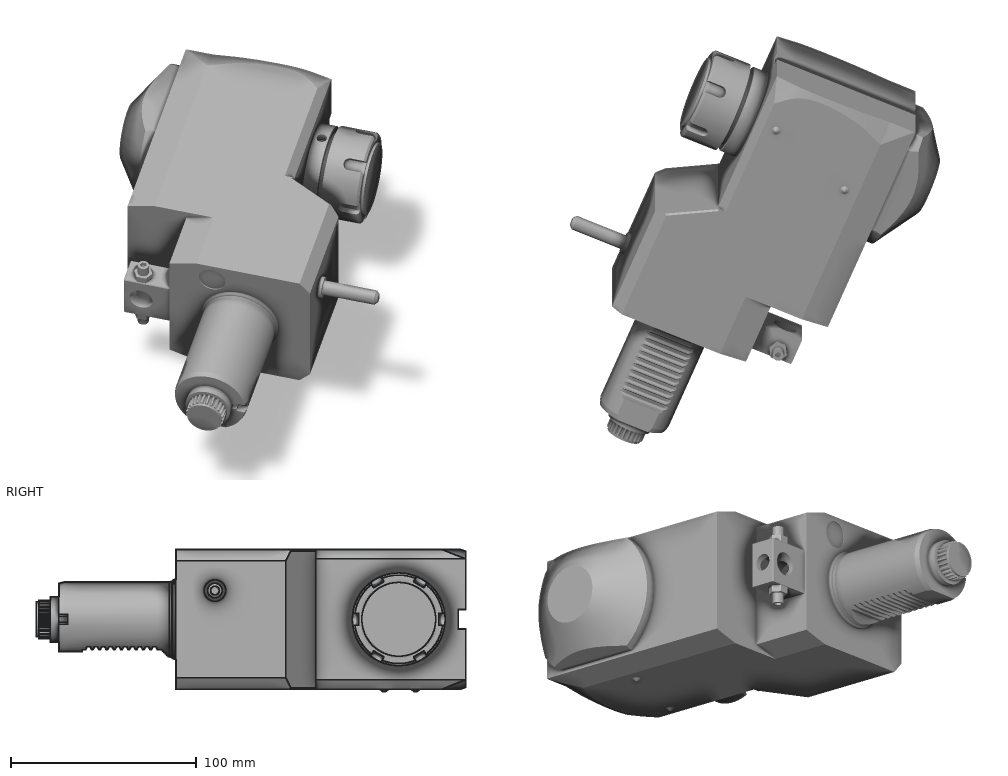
import cadquery as cq
import math


half_height = 37.7
back_y = 156.0
step_y = 35.3
head_left_x = -72.3
head_right_x = 8.8
foot_left_x = -39.5
foot_right_x = 38.8
shoulder_low_y = 59.1
shoulder_high_y = 75.3
left_bevel = (15.2, 4.2)
foot_right_bevel = (5.8, 6.2)
head_right_bevel = (4.2, 5.0)
shoulder_bevel = (1.0, 1.0)

crown_corner_y = 143.5
crown_points = [(-40.5, 150.0), (-19.9, 152.7), (-4.9, 150.0), (4.6, 142.8), (9.2, 139.5)]
crown_fall = 0.32
crown_reach = 23
crown_margin = 2.3

notch_width = 10.5
notch_depth = 4.0

spindle_y = 120.0

cap_radius = 40.2
cap_rim = 6.0
cap_length = 22.9
cap_nose_radius = 16.0
cap_flat_z = 31.6
cap_flat_length = 2.5
cap_flat_slope = 0.2

nose_radius = 24.3
nose_length = 8.0
groove_radius = 20.8
groove_length = 2.5
nut_radius = 25.0
nut_length = 20.8
nut_chamfer = 1.2
nut_face_radius = 19.9
nut_face_length = 1.5
nut_slot_count = 6
nut_slot_width = 6.5
nut_slot_length = 11.5
nut_slot_depth = 3.5
nose_hole_radius = 2.8
nose_hole_depth = 4.6
nose_hole_offset = 4.5

collar_radius = 21.5
collar_length = 2.0
collar_round = 1.8
collar_foot_radius = 20.5
collar_foot_length = 1.5
shank_radius = 20.0
shank_length = 62.8
shank_chamfer_length = 2.8
shank_chamfer_depth = 0.7
neck_radius = 12.2
neck_length = 4.6
spline_tip_radius = 10.5
spline_root_radius = 9.2
spline_length = 6.2
end_disc_radius = 9.5
end_disc_length = 1.5
spline_count = 24
spline_tooth_corners = [
    (spline_root_radius, 0),
    (spline_root_radius, 0.3),
    (spline_tip_radius, 0.5),
    (spline_tip_radius, 0.8),
]
key_slot_width = 5.5
key_slot_floor = 14.8
key_slot_length = 4.6
key_slot_inner_width = 3.2

rack_flat_z = -17.3
rack_tip_z = -16.5
rack_root_z = -14.8
rack_start_y = -4.0
rack_end_y = -50.4
rack_pitch = 4.0
rack_first_root_y = -11.5
rack_root_count = 10
rack_mouth_half_share = 0.42
rack_bottom_half_share = 0.2

block_left_x = -65.4
block_low_y = 1.5
block_high_y = 16.0
block_half_height = 12.5
block_chamfer = 0.5
port_x = -55.7
port_radius = 6.5
side_port_radius = 4.6
side_port_depth = 20.8
pilot_radius = 1.0
pilot_depth = 2.3
fitting_y = 6.2
hex_across_corners = 10.2
hex_height = 3.7
fitting_radius = 3.0
fitting_height = 5.5
socket_across_corners = 3.7
socket_depth = 2.3

pin_y = 21.0
pin_z = 15.5
pin_radius = 4.0
pin_end_x = 71.4
pin_chamfer = 1.6
pin_flange_radius = 5.8
pin_flange_length = 2.0
plug_x = -15.7
plug_z = 27.5
plug_radius = 7.5
plug_depth = 0.7
nipple_height = 1.5
nipple_radius = 2.3
nipple_tip_radius = 0.5
nipple_places = [(-49.5, 112.0), (-2.3, 129.0)]


def rod_x(start_x, length, y, z, radius):
    """Cylinder running toward +X."""
    start = cq.Vector(start_x, y, z)
    return cq.Workplane(cq.Solid.makeCylinder(radius, length, start, cq.Vector(1, 0, 0)))


def rod_y(x, start_y, length, z, radius):
    """Cylinder running toward -Y."""
    start = cq.Vector(x, start_y, z)
    return cq.Workplane(cq.Solid.makeCylinder(radius, length, start, cq.Vector(0, -1, 0)))


def cut_both_faces(body, cutter):
    """Cut the upper face and, mirrored, the lower face."""
    return body.cut(cutter).cut(cutter.mirror("XY"))


def bevel_prism(start, end, size):
    """Wedge that bevels the upper edge from start to end; the material lies left of that direction."""
    setback, drop = size
    run_x = end[0] - start[0]
    run_y = end[1] - start[1]
    plane = cq.Plane(
        origin=(start[0], start[1], half_height),
        xDir=(-run_y, run_x, 0),
        normal=(run_x, run_y, 0),
    )
    wedge = cq.Workplane(plane).polyline([(0, 0), (setback, 0), (0, -drop)]).close()
    return wedge.extrude(math.hypot(run_x, run_y))


def crown_cutter():
    """Everything above the slope that falls from the crowned line toward the back face."""
    corner_x = head_left_x + left_bevel[0]
    outside_x = head_left_x - crown_margin
    outside_y = back_y + crown_margin
    profile = (
        cq.Workplane("XY", origin=(0, 0, half_height))
        .moveTo(outside_x, crown_corner_y)
        .lineTo(corner_x, crown_corner_y)
        .spline(crown_points, includeCurrent=True)
        .lineTo(crown_points[-1][0], outside_y)
        .lineTo(outside_x, outside_y)
        .close()
    )
    fall = cq.Vector(0, crown_reach, -crown_fall * crown_reach)
    return cq.Workplane(cq.Solid.extrudeLinear(profile.val(), [], fall))


def housing():
    outline = [
        (head_left_x, step_y),
        (foot_left_x, step_y),
        (foot_left_x, 0),
        (foot_right_x, 0),
        (foot_right_x, shoulder_low_y),
        (head_right_x, shoulder_high_y),
        (head_right_x, back_y),
        (head_left_x, back_y),
    ]
    body = cq.Workplane("XY").polyline(outline).close().extrude(half_height, both=True)

    shoulder_slope = (shoulder_high_y - shoulder_low_y) / (foot_right_x - head_right_x)
    foot_bevel_end_y = shoulder_low_y + shoulder_slope * foot_right_bevel[0]
    bevels = [
        ((head_left_x, back_y), (head_left_x, step_y), left_bevel),
        ((foot_left_x, step_y), (foot_left_x, 0), left_bevel),
        ((foot_right_x, 0), (foot_right_x, foot_bevel_end_y), foot_right_bevel),
        ((foot_right_x, shoulder_low_y), (head_right_x, shoulder_high_y), shoulder_bevel),
        ((head_right_x, shoulder_high_y), (head_right_x, back_y), head_right_bevel),
    ]
    for start, end, size in bevels:
        body = cut_both_faces(body, bevel_prism(start, end, size))
    body = cut_both_faces(body, crown_cutter())

    notch = (
        cq.Workplane("XZ", origin=(0, back_y, 0))
        .center((head_left_x + head_right_x) / 2, 0)
        .rect(head_right_x - head_left_x, notch_width)
        .extrude(notch_depth)
    )
    plug = rod_y(plug_x, plug_depth, 2 * plug_depth, plug_z, plug_radius)
    return body.cut(notch).cut(plug)


def cap():
    end_x = head_left_x - cap_length
    rim_x = head_left_x - cap_rim
    dome = (
        cq.Workplane("XY", origin=(0, spindle_y, 0))
        .polyline(
            [
                (head_left_x, 0),
                (head_left_x, cap_radius),
                (rim_x, cap_radius),
                (end_x, cap_nose_radius),
                (end_x, 0),
            ]
        )
        .close()
        .revolve(360, (0, 0, 0), (1, 0, 0))
    )
    bend_x = head_left_x - cap_flat_length
    end_z = cap_flat_z - cap_flat_slope * (bend_x - end_x)
    envelope = (
        cq.Workplane("XZ", origin=(0, back_y - notch_depth, 0))
        .polyline(
            [
                (head_left_x, -cap_flat_z),
                (head_left_x, cap_flat_z),
                (bend_x, cap_flat_z),
                (end_x, end_z),
                (end_x, -end_z),
                (bend_x, -cap_flat_z),
            ]
        )
        .close()
        .extrude(2 * cap_radius)
    )
    return dome.intersect(envelope)


def spindle():
    groove_x = head_right_x + nose_length
    nut_x = groove_x + groove_length
    nut_end_x = nut_x + nut_length
    nose = rod_x(head_right_x, nose_length, spindle_y, 0, nose_radius)
    groove = rod_x(groove_x, groove_length, spindle_y, 0, groove_radius)
    nut = rod_x(nut_x, nut_length, spindle_y, 0, nut_radius).faces(">X").chamfer(nut_chamfer)
    face = rod_x(nut_end_x, nut_face_length, spindle_y, 0, nut_face_radius)

    slot_height = 2 * nut_slot_depth
    slot_start_x = nut_end_x - nut_slot_length
    slot = (
        cq.Workplane("XY", origin=(slot_start_x, spindle_y, nut_radius - nut_slot_depth))
        .moveTo(nut_slot_width / 2, nut_slot_width / 2)
        .threePointArc((0, 0), (nut_slot_width / 2, -nut_slot_width / 2))
        .lineTo(nut_slot_length, -nut_slot_width / 2)
        .lineTo(nut_slot_length, nut_slot_width / 2)
        .close()
        .extrude(slot_height)
    )
    slot_step = 360 / nut_slot_count
    for index in range(nut_slot_count):
        angle = (index + 0.5) * slot_step
        nut = nut.cut(slot.rotate((0, spindle_y, 0), (1, spindle_y, 0), angle))

    hole = (
        cq.Workplane("XY", origin=(head_right_x + nose_hole_offset, spindle_y, nose_radius))
        .circle(nose_hole_radius)
        .extrude(-nose_hole_depth)
    )
    return nose.cut(hole).union(groove).union(nut).union(face)


def splined_end(start_y):
    """Toothed stub with straight flanks."""
    tooth_step = 2 * math.pi / spline_count
    points = []
    for index in range(spline_count):
        for radius, fraction in spline_tooth_corners:
            angle = (index + fraction) * tooth_step
            points.append((radius * math.cos(angle), radius * math.sin(angle)))
    return cq.Workplane("XZ", origin=(0, start_y, 0)).polyline(points).close().extrude(spline_length)


def rack_cutter():
    """Material removed below the shank: runout, tooth strip with roots, and end flat."""
    outside_z = -collar_radius
    runout_length = rack_tip_z + shank_radius
    profile = [
        (rack_start_y, outside_z),
        (rack_start_y, -shank_radius),
        (rack_start_y - runout_length, rack_tip_z),
        (rack_end_y, rack_tip_z),
        (rack_end_y, rack_flat_z),
        (-shank_length, rack_flat_z),
        (-shank_length, outside_z),
    ]
    cutter = cq.Workplane("YZ").polyline(profile).close().extrude(shank_radius, both=True)
    for index in range(rack_root_count):
        root_y = rack_first_root_y - index * rack_pitch
        mouth = rack_mouth_half_share * rack_pitch
        bottom = rack_bottom_half_share * rack_pitch
        root = (
            cq.Workplane("YZ")
            .polyline(
                [
                    (root_y - mouth, rack_tip_z),
                    (root_y + mouth, rack_tip_z),
                    (root_y + bottom, rack_root_z),
                    (root_y - bottom, rack_root_z),
                ]
            )
            .close()
            .extrude(shank_radius, both=True)
        )
        cutter = cutter.union(root)
    return cutter


def key_slot(inner_x, outer_x, width):
    """Slot in the end face of the shank, on its +X side."""
    slot = cq.Workplane("XY").box(
        outer_x - inner_x, key_slot_length, width, centered=(False, False, True)
    )
    return slot.translate((inner_x, -shank_length, 0))


def shank():
    profile = [
        (0, 0),
        (shank_radius, 0),
        (shank_radius, shank_chamfer_length - shank_length),
        (shank_radius - shank_chamfer_depth, -shank_length),
        (0, -shank_length),
    ]
    body = cq.Workplane("XY").polyline(profile).close().revolve(360, (0, 0, 0), (0, 1, 0))
    body = body.cut(rack_cutter())
    body = body.cut(key_slot(key_slot_floor, shank_radius, key_slot_width))
    body = body.cut(key_slot(neck_radius, key_slot_floor, key_slot_inner_width))

    collar = rod_y(0, 0, collar_length, 0, collar_radius).faces("<Y").edges().fillet(collar_round)
    foot = cq.Workplane(
        cq.Solid.makeCone(
            collar_foot_radius,
            shank_radius,
            collar_foot_length,
            cq.Vector(0, -collar_length, 0),
            cq.Vector(0, -1, 0),
        )
    )
    neck = rod_y(0, -shank_length, neck_length, 0, neck_radius)
    spline_y = -shank_length - neck_length
    end_disc = rod_y(0, spline_y - spline_length, end_disc_length, 0, end_disc_radius)
    return body.union(collar).union(foot).union(neck).union(splined_end(spline_y)).union(end_disc)


def fitting():
    """Hexagon with a socketed round head on top of the coolant block."""
    base = cq.Workplane("XY", origin=(port_x, fitting_y, block_half_height))
    hexagon = base.polygon(6, hex_across_corners).extrude(hex_height)
    head = base.workplane(offset=hex_height).circle(fitting_radius).extrude(fitting_height)
    socket = (
        base.workplane(offset=hex_height + fitting_height)
        .polygon(6, socket_across_corners)
        .extrude(-socket_depth)
    )
    return hexagon.union(head).cut(socket)


def coolant_block():
    length = foot_left_x - block_left_x
    depth = block_high_y - block_low_y
    middle_y = (block_low_y + block_high_y) / 2
    block = (
        cq.Workplane("XY")
        .box(length, depth, 2 * block_half_height, centered=(False, False, True))
        .translate((block_left_x, block_low_y, 0))
    )
    corner_edges = "(|X and <Y and >Z) or (|Y and <X and >Z) or (|Z and <X and <Y)"
    block = block.edges(corner_edges).chamfer(block_chamfer)
    block = block.cut(rod_y(port_x, block_high_y, depth, 0, port_radius))
    block = block.cut(rod_x(block_left_x, side_port_depth, middle_y, 0, side_port_radius))
    pilot_start_x = block_left_x + side_port_depth
    block = block.cut(rod_x(pilot_start_x, pilot_depth, middle_y, 0, pilot_radius))
    return block.union(fitting()).union(fitting().mirror("XY"))


def locating_pin():
    pin = rod_x(foot_right_x, pin_end_x - foot_right_x, pin_y, pin_z, pin_radius)
    pin = pin.faces(">X").chamfer(pin_chamfer)
    flange = rod_x(foot_right_x, pin_flange_length, pin_y, pin_z, pin_flange_radius)
    return pin.union(flange)


def nipple(x, y):
    base = cq.Vector(x, y, -half_height)
    down = cq.Vector(0, 0, -1)
    return cq.Workplane(cq.Solid.makeCone(nipple_radius, nipple_tip_radius, nipple_height, base, down))


result = housing().union(cap()).union(spindle()).union(shank()).union(coolant_block()).union(locating_pin())
for nipple_x, nipple_y in nipple_places:
    result = result.union(nipple(nipple_x, nipple_y))